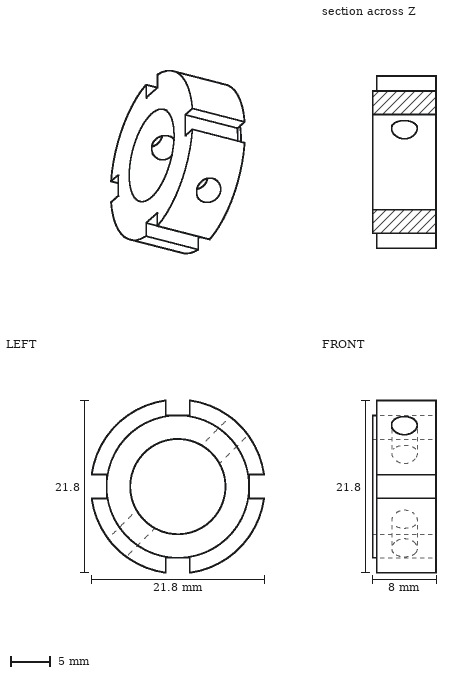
import cadquery as cq

body_diameter = 22.0
bore_diameter = 12.0
total_width = 8.0

face_diameter = 18.0
face_height = 0.5
body_width = total_width - face_height

slot_count = 4
slot_width = 3.0
slot_floor_radius = face_diameter / 2

cross_hole_diameter = 3.24
cross_hole_x = total_width / 2
cross_hole_angle = 45.0


def cylinder_along_x(diameter, start_x, length):
    """Solid cylinder centred on the X axis."""
    return cq.Workplane("YZ").workplane(offset=start_x).circle(diameter / 2).extrude(length)


def make_ring():
    """Plain ring with the raised contact face and the bore."""
    face = cylinder_along_x(face_diameter, 0, total_width)
    body = cylinder_along_x(body_diameter, face_height, body_width)
    bore = cylinder_along_x(bore_diameter, 0, total_width)
    return body.union(face).cut(bore)


def make_slot(angle):
    """Flat-floored cutter for one wrench slot, turned about X from +Z."""
    slot_height = body_diameter / 2
    slot = cq.Workplane("XY").box(body_width, slot_width, slot_height, centered=(False, True, False))
    slot = slot.translate((face_height, 0, slot_floor_radius))
    return slot.rotate((0, 0, 0), (1, 0, 0), angle)


def make_cross_hole():
    """Cutter for the diametral hole."""
    hole = cq.Workplane("XY").circle(cross_hole_diameter / 2).extrude(body_diameter, both=True)
    hole = hole.rotate((0, 0, 0), (1, 0, 0), cross_hole_angle)
    return hole.translate((cross_hole_x, 0, 0))


result = make_ring()
for slot_index in range(slot_count):
    result = result.cut(make_slot(slot_index * 360.0 / slot_count))
result = result.cut(make_cross_hole())